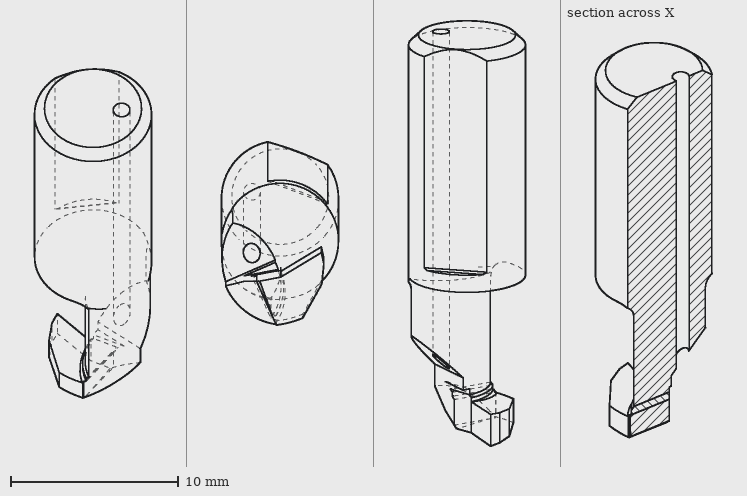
import cadquery as cq
import math

total_height = 25.0
shank_radius = 3.5
shank_bottom = 10.0
shank_chamfer = 0.6
flat_distance = 2.92
flat_bottom = 11.08
flat_end_bevel = 0.12
flat_angle = 135.0

hole_x = 1.42
hole_y = 0.95
hole_diameter = 1.0

neck_inner_x = 0.25
neck_corner_x = 1.85
neck_corner_y = 2.78
flare_radius = 1.0
back_relief_top = 6.18
back_face_y = 0.12


def disc_radius(rise):
    """Radius of an arc that rises by this much over the lens chord."""
    return (rise ** 2 + neck_corner_y ** 2) / (2 * rise)


inner_radius = disc_radius(neck_corner_x - neck_inner_x)
inner_center_x = neck_inner_x + inner_radius
outer_radius = disc_radius(shank_radius - neck_corner_x)
outer_center_x = shank_radius - outer_radius

seat_x = 1.55
seat_top = 2.38
seat_bevel_bottom = 1.8
bevel_top_z = 2.15

tip_x = -2.7
tip_height = 2.0
head_nose_corner = (-2.55, -0.72)
head_flank_corner = (-1.95, -1.78)
head_side_corner = (-0.05, -3.22)
head_arc_middle = (0.8, -3.15)
head_end_y = -2.98
head_taper = 0.08
collar_root = 1.62
collar_step = 0.15
collar_flare_top = 1.98
collar_shoulder = 2.22

gullet_x = 0.12
gullet_y = -0.38
gullet_end_x = 2.28
gullet_top = 2.75

clearance = 5.0


def plan_disc(center_x, radius, bottom, top):
    return cq.Workplane("XY").workplane(offset=bottom).center(center_x, 0).circle(radius).extrude(top - bottom)


def side_prism(points):
    """Prism along Y with its outline given as X, Z points."""
    return cq.Workplane("XZ").polyline(points).close().extrude(clearance, both=True)


def end_bevel():
    """Material below the 45 degree bevel at the free end."""
    bevel_x = shank_radius - bevel_top_z
    return side_prism([
        (bevel_x - clearance, -clearance),
        (bevel_x + clearance, -clearance),
        (bevel_x + clearance, clearance),
    ])


def gullet():
    """Space behind the rake face and the gullet wall."""
    wall_slope = (back_face_y - gullet_y) / (gullet_end_x - gullet_x)
    rake_slope = gullet_y / (gullet_x - tip_x)
    outline = [
        (tip_x - clearance, -rake_slope * clearance),
        (gullet_x, gullet_y),
        (gullet_x + clearance, gullet_y + wall_slope * clearance),
        (gullet_x + clearance, clearance),
        (tip_x - clearance, clearance),
    ]
    prism = cq.Workplane("XY").workplane(offset=-clearance).polyline(outline).close()
    return prism.extrude(clearance + gullet_top)


def back_relief():
    """Space behind the neck: a flat face with a 45 degree run-out above it."""
    relief_base = back_relief_top - (neck_corner_y - back_face_y)
    outline = [
        (back_face_y, -clearance),
        (back_face_y, relief_base),
        (back_face_y + clearance, relief_base + clearance),
        (back_face_y + clearance, -clearance),
    ]
    return cq.Workplane("YZ").polyline(outline).close().extrude(clearance, both=True)


def make_shank():
    shank = plan_disc(0, shank_radius, shank_bottom, total_height)
    shank = shank.faces(">Z").chamfer(shank_chamfer)
    outer = flat_distance + clearance
    flat_cutter = (
        cq.Workplane("XZ")
        .polyline([
            (flat_distance, flat_bottom + flat_end_bevel),
            (flat_distance + flat_end_bevel, flat_bottom),
            (outer, flat_bottom),
            (outer, total_height + clearance),
            (flat_distance, total_height + clearance),
        ])
        .close()
        .extrude(clearance, both=True)
        .rotate((0, 0, 0), (0, 0, 1), flat_angle)
    )
    return shank.cut(flat_cutter)


def flared_disc(center_x, radius):
    """Neck disc that widens through a concave arc into the shank."""
    diagonal = flare_radius * (1 - math.sqrt(0.5))
    profile = (
        cq.Workplane("XZ")
        .moveTo(0, 0)
        .lineTo(radius, 0)
        .lineTo(radius, shank_bottom - flare_radius)
        .threePointArc(
            (radius + diagonal, shank_bottom - diagonal),
            (radius + flare_radius, shank_bottom),
        )
        .lineTo(0, shank_bottom)
        .close()
    )
    return profile.revolve(360, (0, 0, 0), (0, 1, 0)).translate((center_x, 0, 0))


def foot_region():
    """Zone of the holder beside the insert, following the edge of the collar."""
    shoulder_x = (seat_x + neck_corner_x) / 2
    return side_prism([
        (seat_x, -clearance),
        (seat_x, seat_bevel_bottom),
        (shoulder_x, collar_flare_top),
        (shoulder_x, collar_shoulder),
        (neck_corner_x, seat_top),
        (shank_radius + clearance, seat_top),
        (shank_radius + clearance, -clearance),
    ])


def make_holder():
    outer_disc = flared_disc(outer_center_x, outer_radius)
    neck = outer_disc.intersect(flared_disc(inner_center_x, inner_radius))
    neck = neck.intersect(plan_disc(0, shank_radius, seat_top, shank_bottom))
    foot = plan_disc(outer_center_x, outer_radius, 0, seat_top).intersect(foot_region())
    lower = neck.union(foot).cut(back_relief()).cut(gullet()).cut(end_bevel())
    hole = plan_disc(0, hole_diameter / 2, 0, total_height).translate((hole_x, hole_y, 0))
    return make_shank().union(lower).cut(hole)


def make_head():
    """Hooked head, tapered in height away from the rake face."""
    head = (
        cq.Workplane("XY")
        .moveTo(tip_x, 0)
        .lineTo(*head_nose_corner)
        .lineTo(*head_flank_corner)
        .lineTo(*head_side_corner)
        .threePointArc(head_arc_middle, (seat_x, head_end_y))
        .lineTo(seat_x, 0)
        .close()
        .extrude(tip_height)
    )
    taper_drop = head_taper * clearance
    taper = (
        cq.Workplane("YZ")
        .polyline([
            (0, 0),
            (0, tip_height),
            (-clearance, tip_height - taper_drop),
            (-clearance, taper_drop),
        ])
        .close()
        .extrude(clearance, both=True)
    )
    return head.intersect(taper)


def make_collar():
    """Stepped collar that follows the inner side of the neck."""
    step_radius = inner_radius + collar_step
    foot_radius = step_radius + collar_flare_top - collar_root
    profile = cq.Workplane("XZ").polyline([
        (0, collar_root),
        (foot_radius, collar_root),
        (step_radius, collar_flare_top),
        (step_radius, collar_shoulder),
        (inner_radius, seat_top),
        (0, seat_top),
    ]).close()
    collar = profile.revolve(360, (0, 0, 0), (0, 1, 0)).translate((inner_center_x, 0, 0))
    return collar.intersect(plan_disc(outer_center_x, outer_radius, 0, seat_top))


def make_insert():
    head = make_head().cut(foot_region()).cut(gullet())
    collar = make_collar().cut(foot_region()).cut(gullet())
    return head.union(collar).cut(end_bevel())


holder = make_holder()
cutting_insert = make_insert()

result = cq.Compound.makeCompound([*holder.solids().vals(), *cutting_insert.solids().vals()])